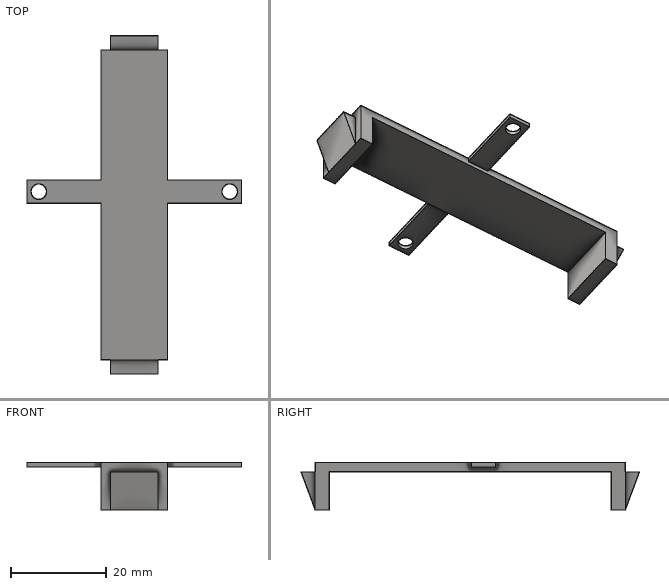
import cadquery as cq

total_length = 71.0
height = 10.0
arm_span = 45.0

bridge_width = 14.0
plate_thickness = 2.0
leg_thickness = 3.0

wedge_width = 10.0
wedge_depth = 3.0
bridge_length = total_length - 2 * wedge_depth

arm_width = 5.0
arm_thickness = 1.0
arm_center_y = 2.8
hole_diameter = 3.2
hole_end_distance = 2.5


def make_bridge():
    """Inverted channel with its top face at Z = 0."""
    block = cq.Workplane("XY").box(bridge_width, bridge_length, height, centered=(True, True, False))
    opening = cq.Workplane("XY").box(
        bridge_width,
        bridge_length - 2 * leg_thickness,
        height - plate_thickness,
        centered=(True, True, False),
    )
    return block.cut(opening).translate((0, 0, -height))


def make_wedge(side):
    """Wedge at the +Y or -Y end, tapering to nothing at the foot of the leg."""
    leg_face = side * bridge_length / 2
    wedge_tip = side * total_length / 2
    return (
        cq.Workplane("YZ")
        .moveTo(leg_face, -plate_thickness)
        .lineTo(wedge_tip, -plate_thickness)
        .lineTo(leg_face, -height)
        .close()
        .extrude(wedge_width / 2, both=True)
    )


def make_arms():
    """Thin cross strip with a mounting hole near each end."""
    hole_spacing = arm_span - 2 * hole_end_distance
    return (
        cq.Workplane("XY")
        .rect(arm_span, arm_width)
        .pushPoints([(-hole_spacing / 2, 0), (hole_spacing / 2, 0)])
        .circle(hole_diameter / 2)
        .extrude(-arm_thickness)
        .translate((0, arm_center_y, 0))
    )


result = make_bridge().union(make_arms())
for side in (-1, 1):
    result = result.union(make_wedge(side))